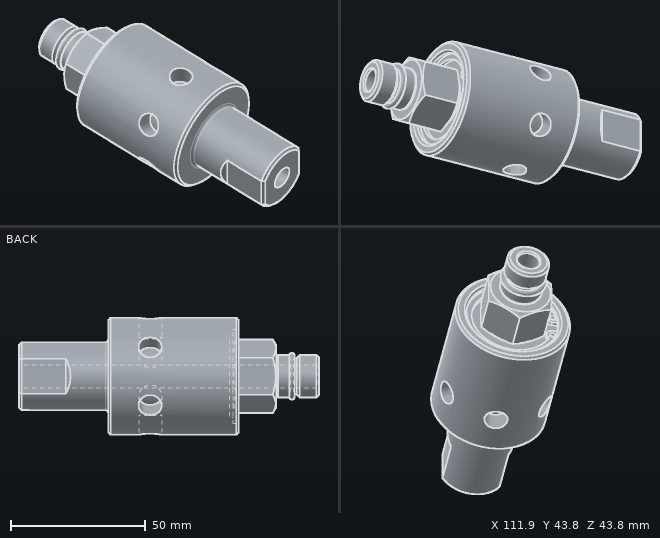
import cadquery as cq
import math

TOTAL_LENGTH = 111.9
HOUSING_START = 29.9
HOUSING_END = 78.7
HEX_START = 15.9
HEX_END = 32.2
EDGE_CHAMFER = 1.0

BORE_DIAMETER = 8.5
BORE_MOUTH_DIAMETER = 9.3
BORE_MOUTH_DEPTH = 0.8
NIPPLE_DIAMETER = 16.0
GROOVE_DIAMETER = 13.5
GROOVE_START = 7.2
GROOVE_END = 11.2
UNDERCUT_WIDTH = 0.7
UNDERCUT_DEPTH = 0.3
ORING_OUTER_DIAMETER = 17.5
ORING_THICKNESS = 2.1
HEX_ACROSS_FLATS = 23.8
HEX_FACE_DIAMETER = 22.8
HEX_CHAMFER_LENGTH = 1.3
JOURNAL_DIAMETER = 19.8

BARREL_DIAMETER = 43.8
RECESS_DIAMETER = 35.0
RECESS_MOUTH_DIAMETER = 36.9
RECESS_MOUTH_DEPTH = 1.0
RECESS_DEPTH = 3.7
RING_INNER_DIAMETER = 30.7
RING_THICKNESS = 1.5
RING_GAP = 4.5
LUG_RADIUS = 2.3
LUG_HOLE_DIAMETER = 2.0
LUG_HOLE_Y = -15.4
LUG_HOLE_Z = 4.6
PIN_HOLE_DIAMETER = 8.6
PIN_HOLE_FLOOR_DIAMETER = 29.1
PIN_HOLE_X = 63.0
PIN_HOLE_COUNT = 6
SPIGOT_DIAMETER = 25.4
SPIGOT_ROOT_FILLET = 1.0
FLATS_WIDTH = 21.8
FLATS_START = 94.4

RECESS_FLOOR = HOUSING_START + RECESS_DEPTH


def cylinder(start, end, diameter):
    """Cylinder on the X axis between two X positions."""
    return cq.Workplane("YZ", origin=(start, 0, 0)).circle(diameter / 2).extrude(end - start)


def revolve_about_x(points):
    """Solid of revolution about X from (x, radius) corner points."""
    return cq.Workplane("XY").polyline(points).close().revolve(360, (0, 0, 0), (1, 0, 0))


def make_nipple():
    """Nipple with chamfered tip, O-ring groove and a shallow undercut at the hexagon."""
    radius = NIPPLE_DIAMETER / 2
    groove_radius = GROOVE_DIAMETER / 2
    undercut_radius = radius - UNDERCUT_DEPTH
    undercut_start = HEX_START - UNDERCUT_WIDTH
    return revolve_about_x([
        (0, 0),
        (0, radius - EDGE_CHAMFER),
        (EDGE_CHAMFER, radius),
        (GROOVE_START, radius),
        (GROOVE_START + radius - groove_radius, groove_radius),
        (GROOVE_END, groove_radius),
        (GROOVE_END, radius),
        (undercut_start, radius),
        (undercut_start + UNDERCUT_DEPTH, undercut_radius),
        (HEX_START, undercut_radius),
        (HEX_START, 0),
    ])


def make_oring():
    """O-ring at the hexagon side of its groove, standing proud of the nipple."""
    tube_radius = ORING_THICKNESS / 2
    centre_radius = ORING_OUTER_DIAMETER / 2 - tube_radius
    return (
        cq.Workplane("XY")
        .center(GROOVE_END - tube_radius, centre_radius)
        .circle(tube_radius)
        .revolve(360, (0, -centre_radius, 0), (1, -centre_radius, 0))
    )


def make_hexagon():
    """Hexagon with corners at +Z and -Z and cone-chamfered ends."""
    corner_diameter = HEX_ACROSS_FLATS / math.cos(math.pi / 6)
    prism = (
        cq.Workplane("YZ", origin=(HEX_START, 0, 0))
        .transformed(rotate=(0, 0, 90))
        .polygon(6, corner_diameter)
        .extrude(HEX_END - HEX_START)
    )
    envelope = revolve_about_x([
        (HEX_START, 0),
        (HEX_START, HEX_FACE_DIAMETER / 2),
        (HEX_START + HEX_CHAMFER_LENGTH, corner_diameter / 2),
        (HEX_END - HEX_CHAMFER_LENGTH, corner_diameter / 2),
        (HEX_END, HEX_FACE_DIAMETER / 2),
        (HEX_END, 0),
    ])
    return prism.intersect(envelope)


def make_rotor():
    """Nipple, O-ring, hexagon and short rear journal, bored through along X."""
    bore = cylinder(0, RECESS_FLOOR, BORE_DIAMETER)
    mouth = revolve_about_x([
        (0, 0),
        (0, BORE_MOUTH_DIAMETER / 2),
        (BORE_MOUTH_DEPTH, BORE_DIAMETER / 2),
        (BORE_MOUTH_DEPTH, 0),
    ])
    journal = cylinder(HEX_END, RECESS_FLOOR, JOURNAL_DIAMETER)
    body = make_nipple().union(make_oring()).union(make_hexagon()).union(journal)
    return body.cut(bore).cut(mouth)


def make_barrel():
    """Barrel chamfered at both ends, with a flared recess in its front face."""
    barrel = cylinder(HOUSING_START, HOUSING_END, BARREL_DIAMETER).edges().chamfer(EDGE_CHAMFER)
    recess = revolve_about_x([
        (HOUSING_START, 0),
        (HOUSING_START, RECESS_MOUTH_DIAMETER / 2),
        (HOUSING_START + RECESS_MOUTH_DEPTH, RECESS_DIAMETER / 2),
        (RECESS_FLOOR, RECESS_DIAMETER / 2),
        (RECESS_FLOOR, 0),
    ])
    return barrel.cut(recess)


def make_retaining_ring():
    """Ring on the recess floor, open towards -Y, with a drilled lug at each end."""
    start = RECESS_FLOOR - RING_THICKNESS
    disc = cylinder(start, RECESS_FLOOR, RECESS_DIAMETER)
    ring = disc.cut(cylinder(start, RECESS_FLOOR, RING_INNER_DIAMETER))
    lug_centres = [(LUG_HOLE_Y, LUG_HOLE_Z), (LUG_HOLE_Y, -LUG_HOLE_Z)]
    face = cq.Workplane("YZ", origin=(start, 0, 0))
    lugs = face.pushPoints(lug_centres).circle(LUG_RADIUS).extrude(RING_THICKNESS)
    holes = face.pushPoints(lug_centres).circle(LUG_HOLE_DIAMETER / 2).extrude(RING_THICKNESS)
    gap = face.center(-RECESS_DIAMETER / 2, 0).rect(RECESS_DIAMETER, RING_GAP).extrude(RING_THICKNESS)
    return ring.union(lugs.intersect(disc)).cut(gap).cut(holes)


def make_pin_holes():
    """Radial holes evenly spaced around the barrel, one at +Z, with floors on a coaxial cylinder."""
    hole = (
        cq.Workplane("XY", origin=(PIN_HOLE_X, 0, 0))
        .circle(PIN_HOLE_DIAMETER / 2)
        .extrude(BARREL_DIAMETER / 2)
        .cut(cylinder(HOUSING_START, HOUSING_END, PIN_HOLE_FLOOR_DIAMETER))
    )
    holes = cq.Workplane("XY")
    for index in range(PIN_HOLE_COUNT):
        holes = holes.add(hole.rotate((0, 0, 0), (1, 0, 0), index * 360 / PIN_HOLE_COUNT))
    return holes.combine()


def make_spigot():
    """Spigot with two wrench flats at its end and a chamfer around the whole end face."""
    shank = cylinder(HOUSING_END, TOTAL_LENGTH, SPIGOT_DIAMETER)
    runout = (SPIGOT_DIAMETER - FLATS_WIDTH) / 2
    half_width = FLATS_WIDTH / 2
    side = (
        cq.Workplane("XY", origin=(0, 0, -SPIGOT_DIAMETER / 2))
        .moveTo(FLATS_START, half_width)
        .lineTo(TOTAL_LENGTH, half_width)
        .lineTo(TOTAL_LENGTH, half_width + runout)
        .lineTo(FLATS_START - runout, half_width + runout)
        .close()
        .extrude(SPIGOT_DIAMETER)
    )
    shank = shank.cut(side).cut(side.mirror("XZ"))
    return shank.faces(">X").edges().chamfer(EDGE_CHAMFER)


def make_spigot_root():
    """Concave fillet ring between the barrel end and the spigot."""
    radius = SPIGOT_DIAMETER / 2
    fillet_end = HOUSING_END + SPIGOT_ROOT_FILLET
    outer_radius = radius + SPIGOT_ROOT_FILLET
    arc_offset = SPIGOT_ROOT_FILLET * (1 - math.sqrt(0.5))
    return (
        cq.Workplane("XY")
        .moveTo(HOUSING_END, 0)
        .lineTo(HOUSING_END, outer_radius)
        .threePointArc((HOUSING_END + arc_offset, radius + arc_offset), (fillet_end, radius))
        .lineTo(fillet_end, 0)
        .close()
        .revolve(360, (0, 0, 0), (1, 0, 0))
    )


def make_housing():
    """Barrel, spigot and retaining ring as one body, with the bore and pin holes."""
    body = make_barrel().union(make_spigot()).union(make_spigot_root()).union(make_retaining_ring())
    bore = cylinder(RECESS_FLOOR, TOTAL_LENGTH, BORE_DIAMETER)
    return body.cut(bore).cut(make_pin_holes())


rotor = make_rotor()
housing = make_housing()

result = cq.Compound.makeCompound([rotor.val(), housing.val()])